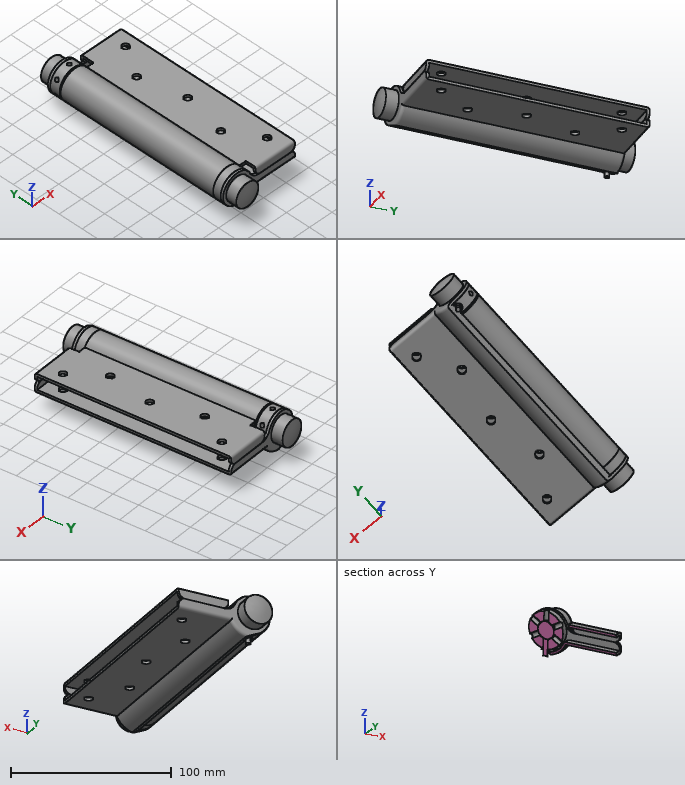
import cadquery as cq
import math


half_length = 86.8
leaf_length = 152.5
leaf_half_length = leaf_length / 2
leaf_right = 51.4
sheet = 2.0
leaf_pair_thickness = 14.0
leaf_face = leaf_pair_thickness / 2
leaf_inside = leaf_face - sheet
wall_inside = leaf_half_length - sheet
corner_radius = 4.2

barrel_radius = 12.7
shaft_radius = 9.9
core_radius = 6.0
dome_height = 1.7
barrel_top = 65.0
barrel_bottom = -67.7
washer_thickness = 1.0
collar_bottom = barrel_top + washer_thickness

notch_right = 16.5

trough_inner_radius = 14.0
trough_outer_radius = trough_inner_radius + sheet
trough_lip_radius = 2.8
neck_radius = 8.2
lip_slope = 25.0

screw_hole_radius = 2.8
screw_pairs = [(41.5, 61.6), (25.9, 36.6)]
screw_middle = (33.8, 0)

collar_hole_count = 6
collar_hole_radius = 1.5
collar_hole_start = 28.0
collar_hole_y = 70.3
pin_index = 4
pin_reach = 17.4
pin_flange_radius = 2.8
pin_flange_inner = 12.8
pin_flange_outer = 13.4


def section(y):
    """Workplane across the hinge at y, with local axes X and Z; it extrudes toward -Y."""
    return cq.Workplane("XZ", origin=(0, y, 0))


def ring(y_low, y_high):
    """Barrel-sized ring around the shaft core."""
    return section(y_high).circle(barrel_radius).circle(core_radius).extrude(y_high - y_low)


def slab(x_low, x_high, y_low, y_high, z_low, z_high):
    """Rectangular block between the given limits."""
    size = (x_high - x_low, y_high - y_low, z_high - z_low)
    return cq.Workplane("XY", origin=(x_low, y_low, z_low)).box(*size, centered=False)


def radial_rod(index, radius, length):
    """Rod from the shaft axis outward along the collar hole of the given index."""
    angle = math.radians(collar_hole_start + index * 360 / collar_hole_count)
    direction = cq.Vector(math.cos(angle), 0, math.sin(angle))
    return cq.Workplane(cq.Solid.makeCylinder(radius, length, cq.Vector(0, collar_hole_y, 0), direction))


def screw_holes():
    """Cutters for the screw holes, which pass through both leaves."""
    points = [screw_middle]
    for x, y in screw_pairs:
        points += [(x, y), (x, -y)]
    base = cq.Workplane("XY", origin=(0, 0, -leaf_face))
    return base.pushPoints(points).circle(screw_hole_radius).extrude(2 * leaf_face)


def make_shaft():
    """Shaft through the whole hinge: a core with a thicker, shallow-domed head at each end."""
    rim = half_length - dome_height
    dome_radius = (shaft_radius**2 + dome_height**2) / (2 * dome_height)
    half_angle = math.asin(shaft_radius / dome_radius) / 2
    mid_x = dome_radius * math.sin(half_angle)
    mid_y = half_length - dome_radius * (1 - math.cos(half_angle))
    return (
        cq.Workplane("XY")
        .moveTo(0, -half_length)
        .threePointArc((mid_x, -mid_y), (shaft_radius, -rim))
        .lineTo(shaft_radius, -wall_inside)
        .lineTo(core_radius, -wall_inside)
        .lineTo(core_radius, wall_inside)
        .lineTo(shaft_radius, wall_inside)
        .lineTo(shaft_radius, rim)
        .threePointArc((mid_x, mid_y), (0, half_length))
        .close()
        .revolve(360, (0, 0, 0), (0, 1, 0))
    )


def make_upper_leaf():
    """Barrel with a flat leaf whose ends are folded down to the middle plane."""
    plate = slab(notch_right, leaf_right, -leaf_half_length, leaf_half_length, 0, leaf_face)
    plate = plate.edges("|Y and <Z").fillet(corner_radius)
    plate = plate.cut(slab(0, leaf_right, -wall_inside, wall_inside, 0, leaf_inside))
    plate = plate.edges("|X and >Z").edges("<Y or >Y").fillet(sheet)
    bridge = slab(0, notch_right, barrel_bottom, barrel_top, leaf_inside, leaf_face)
    barrel = section(barrel_top).circle(barrel_radius).extrude(barrel_top - barrel_bottom)
    bore = section(barrel_top).circle(core_radius).extrude(barrel_top - barrel_bottom)
    return plate.union(bridge).union(barrel).cut(bore).cut(screw_holes())


def end_wall_outline():
    """Outline of the lower leaf seen along the shaft: round eye, arm, and curl below."""
    slope = math.radians(lip_slope)
    tangent = (-barrel_radius * math.sin(slope), -barrel_radius * math.cos(slope))
    lip_length = math.sqrt(trough_outer_radius**2 - barrel_radius**2)
    lip = (tangent[0] + lip_length * math.cos(slope), tangent[1] - lip_length * math.sin(slope))
    root = (math.sqrt(trough_outer_radius**2 - leaf_face**2), -leaf_face)
    curl_angle = (math.atan2(lip[1], lip[0]) + math.atan2(root[1], root[0])) / 2
    curl_mid = (trough_outer_radius * math.cos(curl_angle), trough_outer_radius * math.sin(curl_angle))
    neck_angle = math.asin(neck_radius / (barrel_radius + neck_radius))
    neck_x = (barrel_radius + neck_radius) * math.cos(neck_angle)
    neck_top = (barrel_radius * math.cos(neck_angle), barrel_radius * math.sin(neck_angle))
    neck_mid_angle = (math.pi / 2 + neck_angle) / 2
    neck_mid = (
        neck_x - neck_radius * math.cos(neck_mid_angle),
        neck_radius * (1 - math.sin(neck_mid_angle)),
    )
    corner_mid = corner_radius * (1 - math.sqrt(0.5))
    return (
        section(leaf_half_length)
        .moveTo(*tangent)
        .lineTo(*lip)
        .threePointArc(curl_mid, root)
        .lineTo(leaf_right, -leaf_face)
        .lineTo(leaf_right, -corner_radius)
        .threePointArc((leaf_right - corner_mid, -corner_mid), (leaf_right - corner_radius, 0))
        .lineTo(neck_x, 0)
        .threePointArc(neck_mid, neck_top)
        .threePointArc((-barrel_radius, 0), tangent)
        .close()
    )


def leaf_hollow():
    """Space between the end walls of the lower leaf, above its sheet."""
    curl = section(wall_inside).circle(trough_inner_radius).extrude(2 * wall_inside)
    flat = slab(0, leaf_right, -wall_inside, wall_inside, -leaf_inside, trough_inner_radius)
    corner_x = math.sqrt(trough_inner_radius**2 - leaf_inside**2)
    lip_edge = cq.selectors.NearestToPointSelector((corner_x, 0, -leaf_inside))
    return curl.union(flat).edges("|Y").edges(lip_edge).fillet(trough_lip_radius)


def make_lower_leaf():
    """Flat leaf that curls below the barrel and folds up into an end wall at each end."""
    body = end_wall_outline().extrude(2 * leaf_half_length)
    match_tolerance = 0.02
    fold_edges = []
    for edge in body.edges("<Y or >Y").vals():
        point = edge.Center()
        on_flat = abs(point.z + leaf_face) < match_tolerance
        is_arc = edge.geomType() == "CIRCLE"
        on_curl = is_arc and abs(edge.radius() - trough_outer_radius) < match_tolerance
        if on_flat or on_curl:
            fold_edges.append(edge)
    body = body.newObject(fold_edges).fillet(sheet)
    bore = section(half_length).circle(shaft_radius).extrude(2 * half_length)
    pin_clearance = radial_rod(pin_index, collar_hole_radius, pin_reach)
    return body.cut(leaf_hollow()).cut(bore).cut(pin_clearance).cut(screw_holes())


def make_collar():
    """Tension collar with a row of radial holes that reach the shaft."""
    collar = ring(collar_bottom, wall_inside)
    for index in range(collar_hole_count):
        collar = collar.cut(radial_rod(index, collar_hole_radius, pin_reach))
    return collar


def make_pin(shaft):
    """Pin that fills one collar hole, stands on the shaft and has a thin flange outside the collar."""
    stem = radial_rod(pin_index, collar_hole_radius, pin_reach).cut(shaft)
    flange = radial_rod(pin_index, pin_flange_radius, pin_flange_outer)
    flange = flange.cut(radial_rod(pin_index, pin_flange_radius, pin_flange_inner))
    return stem.union(flange)


shaft = make_shaft()
upper_leaf = make_upper_leaf()
lower_leaf = make_lower_leaf()
collar = make_collar()
washer = ring(barrel_top, collar_bottom)
bushing = ring(-wall_inside, barrel_bottom)
pin = make_pin(shaft)

bodies = [shaft, upper_leaf, lower_leaf, collar, washer, bushing, pin]
result = cq.Compound.makeCompound([body.solids().val() for body in bodies])